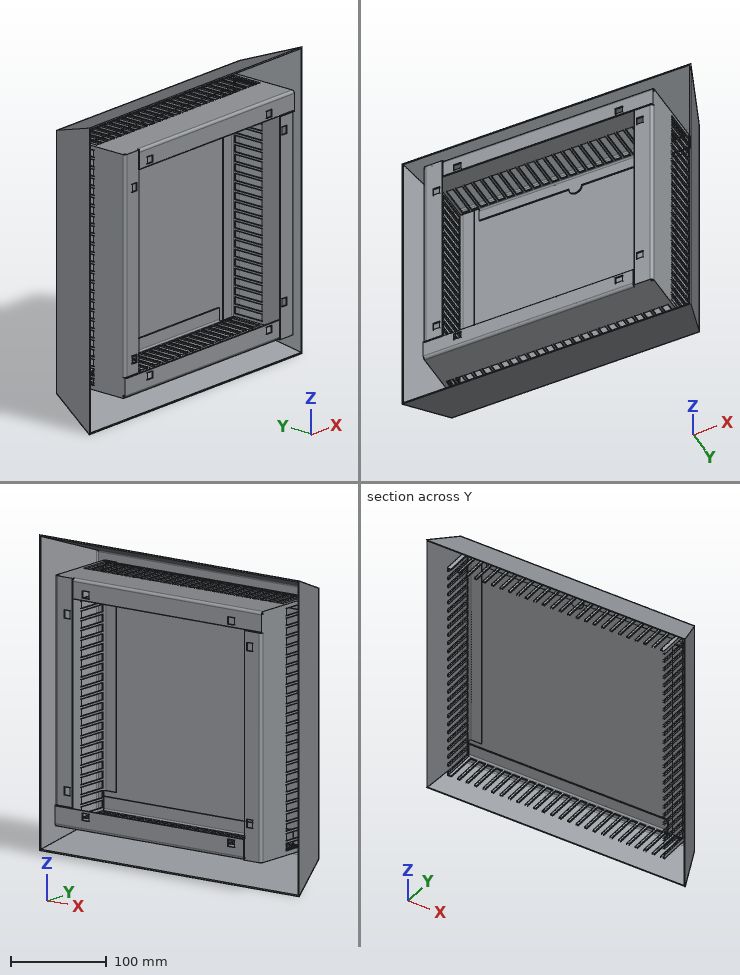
import cadquery as cq
import math

hood_width = 340.0
total_depth = 87.5
sheet = 1.5

hood_depth = 68.0
flare_angle = 20.0
hood_bend_radius = 3.5

frame_width = 270.3
frame_bend_radius = 3.0
front_flange_width = 22.0
back_flange_width = 16.0
flange_clearance = 1.0
back_flange_setback = 22.5

flange_hole_spacing = 190.5
flange_hole_length = 9.0
flange_hole_width = 7.8
flange_hole_edge = 11.5

slot_count = 25
slot_pitch = 10.5
slot_width = 7.8
slot_front = 43.5
slot_back = 81.3

pad_radius = 7.5
pad_height = 118.3

rim_y = total_depth - hood_depth
plate_inner_y = total_depth - sheet
frame_half = frame_width / 2
front_flange_setback = front_flange_width + flange_clearance


def block(x_range, y_range, z_range):
    """Axis-aligned box between pairs of coordinates."""
    sizes = [high - low for low, high in (x_range, y_range, z_range)]
    corner = (x_range[0], y_range[0], z_range[0])
    return cq.Workplane("XY").box(*sizes, centered=False).translate(corner)


def flared_body(rim_half, back_y, bend_radius):
    """Four-sided flared solid with its back edges rounded by a sheet-metal bend."""
    back_half = rim_half - (back_y - rim_y) * math.tan(math.radians(flare_angle))
    prism = (
        cq.Workplane("XY")
        .polyline([(-rim_half, rim_y), (rim_half, rim_y), (back_half, back_y), (-back_half, back_y)])
        .close()
        .extrude(hood_width / 2, both=True)
        .edges("|Z and >Y")
        .fillet(bend_radius)
    )
    return prism.intersect(prism.rotate((0, 0, 0), (0, 1, 0), 90))


def hood():
    """Constant-thickness flared cover."""
    inner_rim_half = hood_width / 2 - sheet / math.cos(math.radians(flare_angle))
    outside = flared_body(hood_width / 2, total_depth, hood_bend_radius)
    inside = flared_body(inner_rim_half, plate_inner_y, hood_bend_radius - sheet)
    return outside.cut(inside)


def bent_flange(x_range, flange_width, y_range, bend_side):
    """Wall strip along the top with one flange folded down at its front ("<Y") or back (">Y") edge."""
    z_range = (frame_half - flange_width, frame_half)
    outside = block(x_range, y_range, z_range)
    outside = outside.edges(f"|X and {bend_side} and >Z").fillet(frame_bend_radius)
    if bend_side == "<Y":
        inner_y_range = (y_range[0] + sheet, y_range[1])
    else:
        inner_y_range = (y_range[0], y_range[1] - sheet)
    inside = block(x_range, inner_y_range, (z_range[0], frame_half - sheet))
    inside = inside.edges(f"|X and {bend_side} and >Z").fillet(frame_bend_radius - sheet)
    return outside.cut(inside)


def top_panel():
    """One folded frame wall, in its place along the top."""
    middle_y = total_depth / 2
    wall_z = (frame_half - sheet, frame_half)
    web_y = (frame_bend_radius, plate_inner_y - frame_bend_radius)
    panel = block((-frame_half, frame_half), web_y, wall_z)

    corner_x = (-frame_half + frame_bend_radius, -frame_half + front_flange_setback)
    panel = panel.union(block(corner_x, (0, frame_bend_radius), wall_z))

    front_x = (-frame_half + front_flange_setback, frame_half)
    panel = panel.union(bent_flange(front_x, front_flange_width, (0, middle_y), "<Y"))

    back_x = (-frame_half + back_flange_setback, frame_half)
    panel = panel.union(bent_flange(back_x, back_flange_width, (middle_y, plate_inner_y), ">Y"))

    hole_z = frame_half - flange_hole_edge
    for x in (-flange_hole_spacing / 2, flange_hole_spacing / 2):
        hole_x = (x - flange_hole_length / 2, x + flange_hole_length / 2)
        panel = panel.cut(block(hole_x, (0, sheet), (hole_z - flange_hole_width, hole_z)))

    for index in range(slot_count):
        x = (index - (slot_count - 1) / 2) * slot_pitch
        slot_x = (x - slot_width / 2, x + slot_width / 2)
        panel = panel.cut(block(slot_x, (slot_front, slot_back), wall_z))
    return panel


def frame():
    """Four identical walls arranged as a pinwheel."""
    panel = top_panel()
    walls = panel
    for turn in (90, 180, 270):
        walls = walls.union(panel.rotate((0, 0, 0), (0, 1, 0), turn))
    return walls


def pad():
    """Round pad standing on the inside of the back plate."""
    return (
        cq.Workplane("XZ", origin=(0, plate_inner_y, pad_height))
        .circle(pad_radius)
        .extrude(sheet)
    )


result = hood().union(frame()).union(pad())